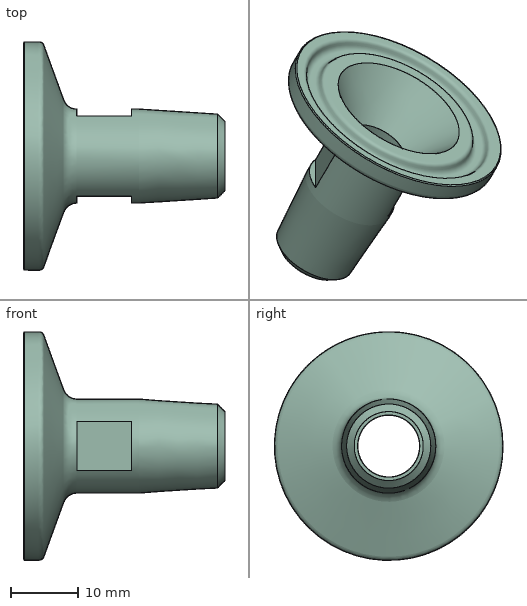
import cadquery as cq
import math

total_length = 30.0
taper_start = 17.25
flat_start = 7.95
flat_end = 16.05
funnel_depth = 7.55

flange_radius = 17.0
shank_radius = 7.0
tip_radius = 6.25
bore_radius = 4.6
funnel_mouth_radius = 10.0
groove_radius = 13.75

rim_width = 2.85
rim_edge_chamfer = 0.17
rim_back_fillet = 0.78
neck_fillet = 2.0
back_angle = math.radians(20)
neck_corner = rim_width + (flange_radius - shank_radius) * math.tan(back_angle)

tip_chamfer = 1.12
flat_half_width = 6.0

groove_bottom_radius = 1.15
groove_lip_radius = 0.78
groove_half_width = 1.97
groove_wall_angle = math.radians(70)


def make_body():
    """Flange, conical back, shank and tapered nose as one revolved solid."""
    outline = (
        cq.Workplane("XY")
        .polyline([
            (0, 0),
            (0, flange_radius - rim_edge_chamfer),
            (rim_edge_chamfer, flange_radius),
            (rim_width, flange_radius),
            (neck_corner, shank_radius),
            (taper_start, shank_radius),
            (total_length - tip_chamfer, tip_radius),
            (total_length, tip_radius - tip_chamfer),
            (total_length, 0),
        ])
        .close()
    )
    body = outline.revolve(360, (0, 0, 0), (1, 0, 0))
    body = body.edges(circle_at(rim_width, flange_radius)).fillet(rim_back_fillet)
    return body.edges(circle_at(neck_corner, shank_radius)).fillet(neck_fillet)


def circle_at(x, radius):
    """Selector for the circular edge of the given radius around the axis at x."""
    margin = 0.05
    reach = radius + margin
    return cq.selectors.BoxSelector(
        (x - margin, -reach, -reach), (x + margin, reach, reach), boundingbox=True
    )


def make_passage():
    """Through bore with a conical funnel at the sealing face."""
    return (
        cq.Workplane("XY")
        .polyline([
            (0, 0),
            (0, funnel_mouth_radius),
            (funnel_depth, bore_radius),
            (total_length, bore_radius),
            (total_length, 0),
        ])
        .close()
        .revolve(360, (0, 0, 0), (1, 0, 0))
    )


def make_groove():
    """Ring that cuts the gasket groove into the sealing face."""
    sin_wall = math.sin(groove_wall_angle)
    cos_wall = math.cos(groove_wall_angle)
    sin_half = math.sin(groove_wall_angle / 2)
    cos_half = math.cos(groove_wall_angle / 2)

    lip_depth = groove_lip_radius * (1 - cos_wall)
    lip_offset = groove_half_width - groove_lip_radius * sin_wall
    bottom_offset = groove_bottom_radius * sin_wall
    wall_end_depth = lip_depth + (lip_offset - bottom_offset) * math.tan(groove_wall_angle)
    full_depth = wall_end_depth + groove_bottom_radius * (1 - cos_wall)

    lip_mid_depth = groove_lip_radius * (1 - cos_half)
    lip_mid_offset = groove_half_width - groove_lip_radius * sin_half

    def point(depth, offset):
        return (depth, groove_radius + offset)

    return (
        cq.Workplane("XY")
        .moveTo(*point(0, groove_half_width))
        .threePointArc(point(lip_mid_depth, lip_mid_offset), point(lip_depth, lip_offset))
        .lineTo(*point(wall_end_depth, bottom_offset))
        .threePointArc(point(full_depth, 0), point(wall_end_depth, -bottom_offset))
        .lineTo(*point(lip_depth, -lip_offset))
        .threePointArc(point(lip_mid_depth, -lip_mid_offset), point(0, -groove_half_width))
        .close()
        .revolve(360, (0, 0, 0), (1, 0, 0))
    )


def make_flat_cutter(side):
    """Block that cuts one wrench flat; side is +1 or -1 along Y."""
    length = flat_end - flat_start
    thickness = shank_radius - flat_half_width
    return cq.Workplane("XY").box(length, thickness, 2 * shank_radius).translate(
        ((flat_start + flat_end) / 2, side * (flat_half_width + thickness / 2), 0)
    )


result = make_body().cut(make_passage()).cut(make_groove())
for side in (-1, 1):
    result = result.cut(make_flat_cutter(side))